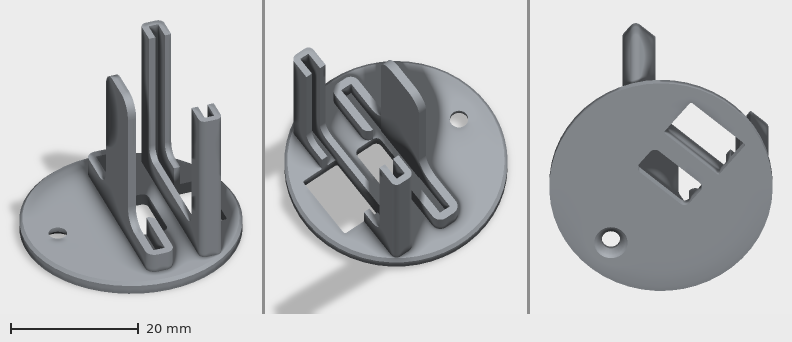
import cadquery as cq

base_diameter = 35.0
base_thickness = 2.0
base_edge_chamfer = 0.5

total_height = 28.32
post_height = 23.0
sleeve_top = total_height - post_height

rear_length = 27.8
rear_back_y = 10.26
rear_front_y = 6.56
rear_wall = 1.06
rear_corner_radius = 1.0
post_inner_x = 9.72
post_foot_radius = 2.05

rear_window_width = 11.2
rear_window_back_y = 14.0
rear_window_corner_radius = 0.3
rear_window_front_y = rear_front_y + rear_wall - rear_window_corner_radius

front_length = 28.9
front_center_x = 0.46
front_back_y = 2.0
front_front_y = -2.5
front_wall = 1.3
front_corner_radius = 1.5

tab_width = 10.05
tab_thickness = 1.38
tab_radius = 3.0

front_window_width = 10.24
front_window_back_y = 4.46
front_window_front_y = -0.18
front_window_corner_radius = 1.0

hole_diameter = 2.9
countersink_diameter = 5.2
countersink_depth = 1.2
hole_y = -12.2


def block(x_min, x_max, y_min, y_max, z_min, z_max):
    """Axis-aligned box between the given limits."""
    return cq.Workplane("XY").box(
        x_max - x_min, y_max - y_min, z_max - z_min, centered=False
    ).translate((x_min, y_min, z_min))


def sleeve(center_x, length, y_min, y_max, wall, corner_radius, top):
    """Rounded block on the base with a slot that leaves one wall thickness all round."""
    half = length / 2
    outer = block(center_x - half, center_x + half, y_min, y_max, base_thickness, top)
    outer = outer.edges("|Z").fillet(corner_radius)
    slot = block(
        center_x - half + wall, center_x + half - wall,
        y_min + wall, y_max - wall,
        base_thickness, top,
    )
    return outer.cut(slot)


def make_base():
    disc = cq.Workplane("XY").circle(base_diameter / 2).extrude(base_thickness)
    return disc.faces(">Z").edges().chamfer(base_edge_chamfer)


def make_rear_holder():
    holder = sleeve(
        0, rear_length, rear_front_y, rear_back_y, rear_wall, rear_corner_radius, total_height
    )
    gap = block(
        -post_inner_x, post_inner_x, rear_front_y, rear_back_y,
        sleeve_top, total_height,
    ).edges("|Y and <Z").fillet(post_foot_radius)
    back_wall_opening = block(
        -rear_window_width / 2, rear_window_width / 2, rear_back_y - rear_wall, rear_back_y,
        base_thickness, sleeve_top,
    )
    return holder.cut(gap).cut(back_wall_opening)


def make_front_holder():
    holder = sleeve(
        front_center_x, front_length, front_front_y, front_back_y,
        front_wall, front_corner_radius, sleeve_top,
    )
    half_opening = front_window_width / 2
    back_inner_y = front_back_y - front_wall
    opening = block(
        -half_opening, half_opening, back_inner_y, front_back_y, base_thickness, sleeve_top
    )
    holder = holder.cut(opening)
    for side in (-1, 1):
        round_center_x = side * (half_opening + front_wall)
        square_end = block(
            min(side * half_opening, round_center_x), max(side * half_opening, round_center_x),
            back_inner_y, front_back_y, base_thickness, sleeve_top,
        )
        round_end = (
            cq.Workplane("XY", origin=(round_center_x, back_inner_y, base_thickness))
            .circle(front_wall)
            .extrude(sleeve_top - base_thickness)
        )
        holder = holder.cut(square_end.cut(round_end))
    return holder


def make_tab():
    """Upright tab with rounded top corners and flared feet."""
    half = tab_width / 2
    blade = block(
        front_center_x - half, front_center_x + half,
        front_front_y, front_front_y + tab_thickness,
        base_thickness, total_height,
    ).edges("|Y and >Z").fillet(tab_radius)
    for side in (-1, 1):
        tab_side_x = front_center_x + side * half
        foot_tip_x = tab_side_x + side * tab_radius
        foot = block(
            min(tab_side_x, foot_tip_x), max(tab_side_x, foot_tip_x),
            front_front_y, front_front_y + front_wall,
            sleeve_top, sleeve_top + tab_radius,
        )
        scoop = (
            cq.Workplane(
                "XZ",
                origin=(foot_tip_x, front_front_y, sleeve_top + tab_radius),
            )
            .circle(tab_radius)
            .extrude(-front_wall)
        )
        blade = blade.union(foot.cut(scoop))
    return blade


def window(width, y_min, y_max, corner_radius):
    """Cutter for a round-cornered rectangular window through the base."""
    cutter = block(-width / 2, width / 2, y_min, y_max, 0, base_thickness)
    return cutter.edges("|Z").fillet(corner_radius)


def make_screw_hole():
    """Cutter for the screw hole and its countersink, revolved about the screw axis."""
    hole_radius = hole_diameter / 2
    profile = (
        cq.Workplane("XZ", origin=(0, hole_y, 0))
        .lineTo(countersink_diameter / 2, 0)
        .lineTo(hole_radius, countersink_depth)
        .lineTo(hole_radius, base_thickness)
        .lineTo(0, base_thickness)
        .close()
    )
    return profile.revolve(360, (0, 0), (0, 1))


rear_window = window(
    rear_window_width, rear_window_front_y, rear_window_back_y, rear_window_corner_radius
)
front_window = window(
    front_window_width, front_window_front_y, front_window_back_y, front_window_corner_radius
)

base = make_base().cut(rear_window).cut(front_window).cut(make_screw_hole())
result = base.union(make_rear_holder()).union(make_front_holder()).union(make_tab())